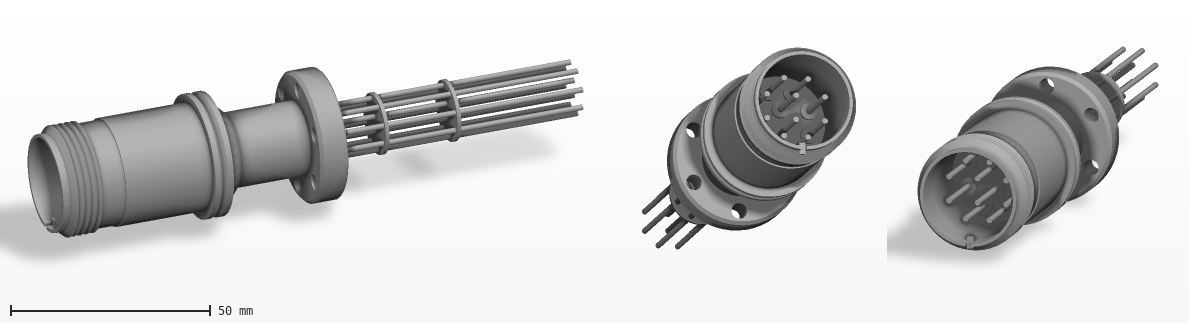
import cadquery as cq
import math


TOTAL_LENGTH = 141.5

LIP_RADIUS = 12.6
LIP_LENGTH = 1.8
CREST_RADIUS = 14.3
NECK_RADIUS = 13.5
FIRST_CREST_Y = 3.5
LAST_CREST_Y = 9.9
THREAD_PITCH = 1.7
FULL_CRESTS = 4
THREAD_RUNOUT = 0.5

SHELL_RADIUS = 13.9
SHELL_FRONT_Y = 16.4
COLLAR_RADIUS = 16.0
COLLAR_FRONT_Y = 39.5
COLLAR_LENGTH = 5.0
COLLAR_GROOVE_DEPTH = 1.0
CONE_FRONT_RADIUS = 14.5
CONE_REAR_Y = 49.1
CONE_FILLET = 0.7
TUBE_RADIUS = 9.6

FLANGE_RADIUS = 16.9
FLANGE_FRONT_Y = 67.5
FLANGE_THICKNESS = 7.4
FLANGE_CHAMFER = 0.8
FLANGE_REAR_CHAMFER = 0.4
BOLT_CIRCLE_RADIUS = 13.5
BOLT_COUNT = 6
BOLT_HOLE_RADIUS = 2.0

SOCKET_RADIUS = 11.7
SOCKET_DEPTH = 25.5
OUTER_PIN_CIRCLE = 8.0
INNER_PIN_OFFSET = 3.1
PIN_RADIUS = 0.7
PIN_TIP_Y = 8.2
SLEEVE_RADIUS = 2.1
SLEEVE_LENGTH = 0.7
KEY_WIDTH = 1.5
KEY_TOP_DISTANCE = 10.5
KEY_LENGTH = 0.7
KEYWAY_LENGTH = LIP_LENGTH

OUTER_WIRE_CIRCLE = 6.5
INNER_WIRE_OFFSET = 2.1
WIRE_RADIUS = 0.7
SPACER_RADIUS = 7.9
SPACER_THICKNESS = 1.0
SPACER_FRONT_YS = (88.1, 107.4)

OUTER_COUNT = 8

FLANGE_REAR_Y = FLANGE_FRONT_Y + FLANGE_THICKNESS
COLLAR_REAR_Y = COLLAR_FRONT_Y + COLLAR_LENGTH


def rod(start_y, end_y, radius, places=((0, 0),)):
    """Cylinders along Y at the given (x, z) places."""
    plane = cq.Workplane("XZ", origin=(0, start_y, 0))
    return plane.pushPoints(places).circle(radius).extrude(start_y - end_y)


def ring_places(radius, count, start_angle):
    """Evenly spaced (x, z) places on a circle."""
    angles = [math.radians(start_angle + 360 * i / count) for i in range(count)]
    return [(radius * math.cos(a), radius * math.sin(a)) for a in angles]


def conductor_places(outer_radius, inner_offset):
    """Eight places on a circle and two on the Z axis."""
    outer = ring_places(outer_radius, OUTER_COUNT, 180 / OUTER_COUNT)
    return outer + [(0, inner_offset), (0, -inner_offset)]


def thread_points():
    """Sharp ridges from the chamfered first crest to the neck, as (radius, y)."""
    first_full_crest_y = LAST_CREST_Y - (FULL_CRESTS - 1) * THREAD_PITCH
    points = [(CREST_RADIUS, FIRST_CREST_Y)]
    for i in range(FULL_CRESTS):
        crest_y = first_full_crest_y + i * THREAD_PITCH
        points.append((NECK_RADIUS, crest_y - THREAD_PITCH / 2))
        points.append((CREST_RADIUS, crest_y))
    points.append((NECK_RADIUS, LAST_CREST_Y + THREAD_RUNOUT))
    return points


def collar_points():
    """Collar with a V groove around its middle."""
    middle_y = COLLAR_FRONT_Y + COLLAR_LENGTH / 2
    return [
        (COLLAR_RADIUS, COLLAR_FRONT_Y),
        (COLLAR_RADIUS, middle_y - COLLAR_GROOVE_DEPTH),
        (COLLAR_RADIUS - COLLAR_GROOVE_DEPTH, middle_y),
        (COLLAR_RADIUS, middle_y + COLLAR_GROOVE_DEPTH),
        (COLLAR_RADIUS, COLLAR_REAR_Y),
    ]


def flange_points():
    return [
        (FLANGE_RADIUS - FLANGE_CHAMFER, FLANGE_FRONT_Y),
        (FLANGE_RADIUS, FLANGE_FRONT_Y + FLANGE_CHAMFER),
        (FLANGE_RADIUS, FLANGE_REAR_Y - FLANGE_REAR_CHAMFER),
        (FLANGE_RADIUS - FLANGE_REAR_CHAMFER, FLANGE_REAR_Y),
    ]


def turned_body():
    outline = [(0, 0), (LIP_RADIUS, 0), (LIP_RADIUS, LIP_LENGTH)]
    outline += thread_points()
    outline += [(NECK_RADIUS, SHELL_FRONT_Y), (SHELL_RADIUS, SHELL_FRONT_Y), (SHELL_RADIUS, COLLAR_FRONT_Y)]
    outline += collar_points()
    outline += [(CONE_FRONT_RADIUS, COLLAR_REAR_Y), (TUBE_RADIUS, CONE_REAR_Y), (TUBE_RADIUS, FLANGE_FRONT_Y)]
    outline += flange_points()
    outline.append((0, FLANGE_REAR_Y))
    solid = cq.Workplane("XY").polyline(outline).close().revolve(360, (0, 0, 0), (0, 1, 0))
    cone_to_tube = cq.NearestToPointSelector((0, CONE_REAR_Y, 0))
    return solid.edges(cone_to_tube).fillet(CONE_FILLET)


def bolt_holes():
    places = ring_places(BOLT_CIRCLE_RADIUS, BOLT_COUNT, 90)
    return rod(FLANGE_FRONT_Y, FLANGE_REAR_Y, BOLT_HOLE_RADIUS, places)


def keyway():
    """Slot through the bottom of the lip."""
    height = CREST_RADIUS - KEY_TOP_DISTANCE
    slot = cq.Workplane("XY").box(KEY_WIDTH, KEYWAY_LENGTH, height, centered=(True, False, False))
    return slot.translate((0, 0, -CREST_RADIUS))


def key():
    """Short block at the bottom of the socket, just behind the slot in the lip."""
    height = NECK_RADIUS - KEY_TOP_DISTANCE
    block = cq.Workplane("XY").box(KEY_WIDTH, KEY_LENGTH, height, centered=(True, False, False))
    return block.translate((0, KEYWAY_LENGTH, -NECK_RADIUS))


def contacts():
    places = conductor_places(OUTER_PIN_CIRCLE, INNER_PIN_OFFSET)
    sleeves = rod(SOCKET_DEPTH - SLEEVE_LENGTH, SOCKET_DEPTH, SLEEVE_RADIUS, places)
    return sleeves.union(rod(PIN_TIP_Y, SOCKET_DEPTH, PIN_RADIUS, places))


def wires():
    places = conductor_places(OUTER_WIRE_CIRCLE, INNER_WIRE_OFFSET)
    bundle = rod(FLANGE_REAR_Y, TOTAL_LENGTH, WIRE_RADIUS, places)
    for front_y in SPACER_FRONT_YS:
        bundle = bundle.union(rod(front_y, front_y + SPACER_THICKNESS, SPACER_RADIUS))
    return bundle


body = turned_body().cut(bolt_holes()).cut(rod(0, SOCKET_DEPTH, SOCKET_RADIUS)).cut(keyway())
result = body.union(key()).union(contacts()).union(wires())